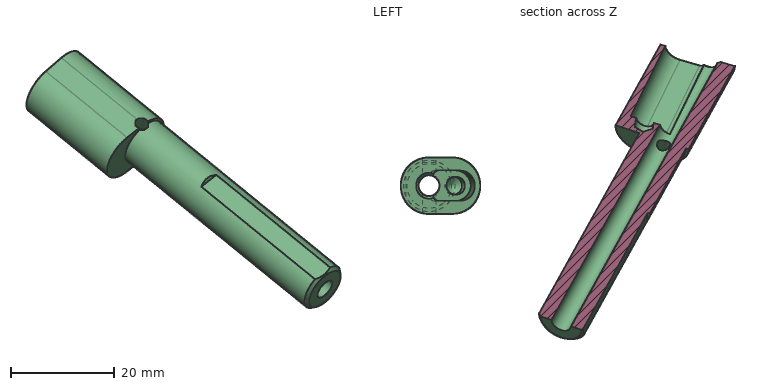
import cadquery as cq
import math

length = 73.0
head_length = 22.9
head_width = 15.5
head_radius = 5.51
head_offset = head_width - 2 * head_radius
face_drop = 0.65
face_tilt = math.atan2(face_drop, head_width)

shaft_radius = 5.0
end_chamfer = 0.65
flat_start = 40.5
flat_distance = 4.5

bore_radius = 2.01
bore_chamfer = 0.5

pocket_depth = 19.0
pocket_half_height = 2.96
pocket_inner_y = -0.8
pocket_outer_y = -8.9
pocket_corner_radius = 1.1

drill_radius = 1.75
drill_y = -5.2
drill_depth = 1.9
drill_tilt_degrees = 15.0
drill_tip_angle = 118.0
drill_tip_length = drill_radius / math.tan(math.radians(drill_tip_angle / 2))

overlap = 0.7

cross_hole_x = 22.4
cross_hole_radius = 1.28


def rod(radius, start, end):
    """Cylinder on the shaft axis between two X positions."""
    return cq.Workplane("YZ", origin=(start, 0, 0)).circle(radius).extrude(end - start)


def make_head():
    head = (
        cq.Workplane("YZ", origin=(0, -head_offset / 2, 0))
        .slot2D(head_width, 2 * head_radius)
        .extrude(head_length)
    )
    front_wedge = (
        cq.Workplane("XY", origin=(0, 0, -head_radius))
        .moveTo(0, head_radius)
        .lineTo(0, head_radius - head_width)
        .lineTo(face_drop, head_radius - head_width)
        .close()
        .extrude(2 * head_radius)
    )
    return head.cut(front_wedge)


def make_shaft():
    return rod(shaft_radius, head_length, length).faces(">X").chamfer(end_chamfer)


def flat_cutter():
    """Cutter for the flat on +Z, entered by a 45 degree ramp."""
    ramp = shaft_radius - flat_distance
    return (
        cq.Workplane("XZ")
        .moveTo(flat_start, shaft_radius)
        .lineTo(flat_start + ramp, flat_distance)
        .lineTo(length, flat_distance)
        .lineTo(length, shaft_radius)
        .close()
        .extrude(shaft_radius, both=True)
    )


def mouth_plane(depth):
    """Plane parallel to the mouth face, sunk by depth at the shaft axis; local x is along Y."""
    normal = cq.Vector(math.cos(face_tilt), math.sin(face_tilt), 0)
    origin = cq.Vector(face_drop * head_radius / head_width, 0, 0) + normal * depth
    along_face = cq.Vector(-math.sin(face_tilt), math.cos(face_tilt), 0)
    return cq.Workplane(cq.Plane(origin, along_face, normal))


def make_bore():
    mouth_chamfer = (
        mouth_plane(0)
        .circle(bore_radius + bore_chamfer)
        .workplane(offset=bore_chamfer)
        .circle(bore_radius)
        .loft()
    )
    return rod(bore_radius, 0, length).union(mouth_chamfer)


def make_pocket():
    """Slot with a full-round outer end and rounded inner corners."""
    arc_center_y = pocket_outer_y + pocket_half_height
    corner_y = pocket_inner_y - pocket_corner_radius
    corner_z = pocket_half_height - pocket_corner_radius
    return (
        mouth_plane(-overlap)
        .moveTo(corner_y, pocket_half_height)
        .lineTo(arc_center_y, pocket_half_height)
        .threePointArc((pocket_outer_y, 0), (arc_center_y, -pocket_half_height))
        .lineTo(corner_y, -pocket_half_height)
        .radiusArc((pocket_inner_y, -corner_z), -pocket_corner_radius)
        .lineTo(pocket_inner_y, corner_z)
        .radiusArc((corner_y, pocket_half_height), -pocket_corner_radius)
        .close()
        .extrude(pocket_depth + overlap)
    )


def make_drill():
    """Pointed hole starting at the pocket floor."""
    floor_x = pocket_depth * math.cos(face_tilt) + (head_radius - drill_y) * math.tan(face_tilt)
    return (
        cq.Workplane("XY")
        .moveTo(-overlap, 0)
        .lineTo(-overlap, drill_radius)
        .lineTo(drill_depth, drill_radius)
        .lineTo(drill_depth + drill_tip_length, 0)
        .close()
        .revolve(360, (0, 0, 0), (1, 0, 0))
        .rotate((0, 0, 0), (0, 0, 1), drill_tilt_degrees)
        .translate((floor_x, drill_y, 0))
    )


top_flat = flat_cutter()
side_flat = top_flat.rotate((0, 0, 0), (1, 0, 0), -90)
cross_hole = (
    cq.Workplane("XY")
    .center(cross_hole_x, 0)
    .circle(cross_hole_radius)
    .extrude(head_radius, both=True)
)

result = make_head().union(make_shaft())
for cutter in (top_flat, side_flat, make_bore(), make_pocket(), make_drill(), cross_hole):
    result = result.cut(cutter)